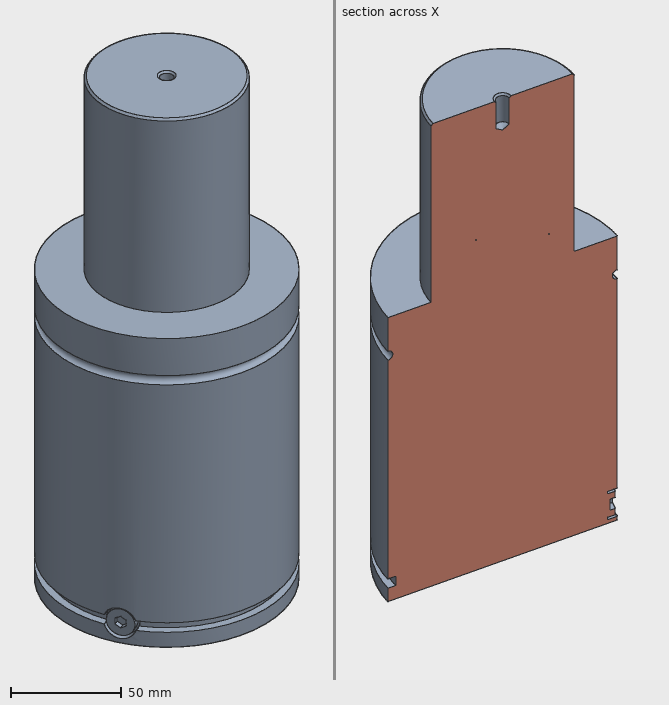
import cadquery as cq
import math

total_height = 268.0
body_diameter = 120.0
body_radius = body_diameter / 2

rod_diameter = 75.0
rod_chamfer = 1.0
shoulder_height = 164.8

base_flange_height = 8.0
base_groove_width = 5.0
base_groove_depth = 4.0
base_groove_floor_radius = body_radius - base_groove_depth

collar_groove_height = 142.5
collar_groove_radius = 2.5

rod_hole_diameter = 6.7
rod_hole_mouth_diameter = 8.5
rod_hole_depth = 16.0
drill_point_angle = 118.0

plug_height = 10.5
plug_pocket_diameter = 16.0
plug_diameter = 14.0
plug_recess = 1.0
plug_pocket_depth = 5.0
socket_corner_diameter = 6.2
socket_depth = 2.7


def make_body():
    """Cylinder and rod, with both ring grooves."""
    cylinder = cq.Workplane("XY").circle(body_radius).extrude(shoulder_height)
    rod = (
        cq.Workplane("XY")
        .circle(rod_diameter / 2)
        .extrude(total_height)
        .faces(">Z")
        .chamfer(rod_chamfer)
    )
    base_groove = (
        cq.Workplane("XY", origin=(0, 0, base_flange_height))
        .circle(body_diameter)
        .circle(base_groove_floor_radius)
        .extrude(base_groove_width)
    )
    collar_groove = cq.Workplane("XY").add(
        cq.Solid.makeTorus(body_radius, collar_groove_radius, cq.Vector(0, 0, collar_groove_height))
    )
    return cylinder.union(rod).cut(base_groove).cut(collar_groove)


def make_rod_hole():
    """Blind hole with a countersunk mouth and a conical drill point."""
    hole_radius = rod_hole_diameter / 2
    mouth_radius = rod_hole_mouth_diameter / 2
    mouth_depth = mouth_radius - hole_radius
    hole_bottom = total_height - rod_hole_depth
    point_depth = hole_radius / math.tan(math.radians(drill_point_angle / 2))
    return (
        cq.Workplane("XZ")
        .moveTo(0, total_height)
        .lineTo(mouth_radius, total_height)
        .lineTo(hole_radius, total_height - mouth_depth)
        .lineTo(hole_radius, hole_bottom)
        .lineTo(0, hole_bottom - point_depth)
        .close()
        .revolve(360, (0, 0, 0), (0, 1, 0))
    )


def plug_plane(radius):
    """Plane facing -Y at the given distance from the body axis."""
    return cq.Workplane("XZ", origin=(0, -radius, plug_height))


def add_plug(body):
    """Cut the pocket and seat the plug with its hexagon socket."""
    pocket_floor = body_radius - plug_pocket_depth
    plug_face = body_radius - plug_recess
    pocket = plug_plane(pocket_floor).circle(plug_pocket_diameter / 2).extrude(body_radius)
    plug = plug_plane(pocket_floor).circle(plug_diameter / 2).extrude(plug_face - pocket_floor)
    socket = (
        plug_plane(plug_face)
        .transformed(rotate=(0, 0, 90))
        .polygon(6, socket_corner_diameter)
        .extrude(-socket_depth)
    )
    return body.cut(pocket).union(plug).cut(socket)


result = add_plug(make_body().cut(make_rod_hole()))